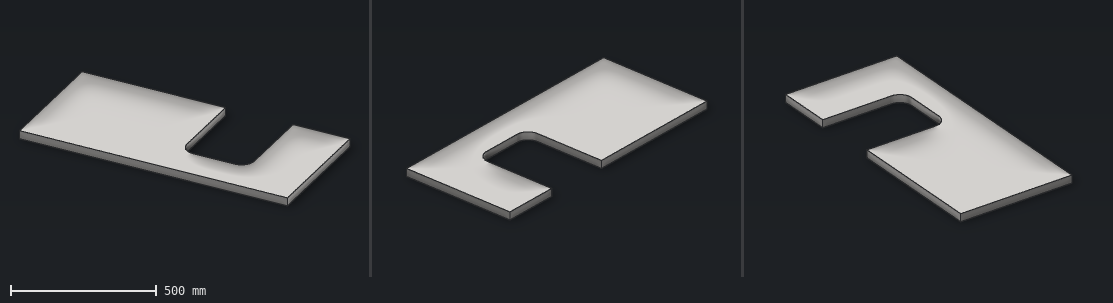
import cadquery as cq

length = 1036.0
width = 470.0
thickness = 32.0

notch_width = 260.0
notch_depth = 340.0
notch_right_margin = 221.0
notch_corner_radius = 50.0

notch_center_x = length / 2 - notch_right_margin - notch_width / 2
notch_center_y = width / 2 - notch_depth / 2

panel = cq.Workplane("XY").box(length, width, thickness)

notch = (
    cq.Workplane("XY")
    .box(notch_width, notch_depth, thickness)
    .edges("|Z and <Y")
    .fillet(notch_corner_radius)
    .translate((notch_center_x, notch_center_y, 0))
)

result = panel.cut(notch)